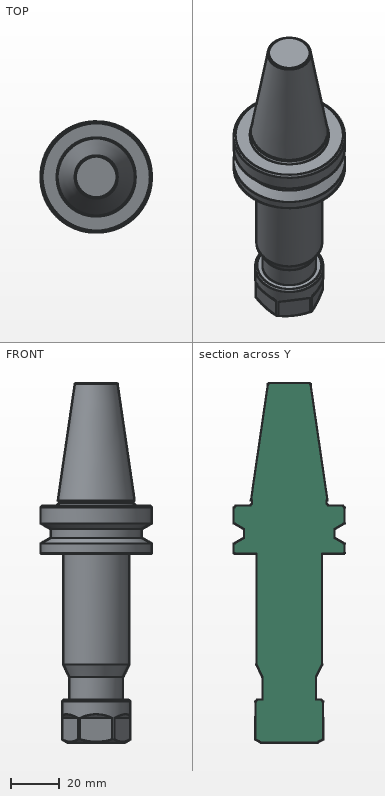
import cadquery as cq
import math

total_height = 148.4
taper_base_z = 100.0
flange_top_z = 98.0
flange_height = 20.0
flange_bottom_z = flange_top_z - flange_height

taper_base_radius = 15.9
taper_ratio = 7 / 24
taper_tip_radius = taper_base_radius - (total_height - taper_base_z) * taper_ratio / 2
tip_chamfer = 0.5
relief_radius = 15.5
relief_step = 0.3
relief_flare = 0.9

flange_radius = 23.0
flange_top_chamfer = 0.9
flange_bottom_chamfer = 0.5
groove_radius = 18.8
groove_floor_bottom_z = 84.6
groove_floor_top_z = 88.1
groove_wall_angle = 30
groove_wall_height = (flange_radius - groove_radius) * math.tan(math.radians(groove_wall_angle))

shank_radius = 13.7
shank_end_z = 32.4
neck_radius = 11.1
neck_top_z = 27.2

nut_radius = 14.1
nut_height = 18.0
nut_top_chamfer = 0.9
nut_face_radius = 11.6
nut_face_chamfer_angle = 30
nut_face_chamfer_height = (nut_radius - nut_face_radius) * math.tan(math.radians(nut_face_chamfer_angle))
hex_flat_count = 6
hex_flat_distance = 12.5
hex_flat_height = 10.2


def revolve_profile(outline):
    """Revolve (radius, height) points about Z, closing the outline on the axis."""
    return cq.Workplane("XZ").polyline(outline).close().revolve(360, (0, 0), (0, 1))


def make_holder():
    return revolve_profile([
        (0, nut_height),
        (neck_radius, nut_height),
        (neck_radius, neck_top_z),
        (shank_radius, shank_end_z),
        (shank_radius, flange_bottom_z),
        (flange_radius - flange_bottom_chamfer, flange_bottom_z),
        (flange_radius, flange_bottom_z + flange_bottom_chamfer),
        (flange_radius, groove_floor_bottom_z - groove_wall_height),
        (groove_radius, groove_floor_bottom_z),
        (groove_radius, groove_floor_top_z),
        (flange_radius, groove_floor_top_z + groove_wall_height),
        (flange_radius, flange_top_z - flange_top_chamfer),
        (flange_radius - flange_top_chamfer, flange_top_z),
        (relief_radius + relief_flare, flange_top_z),
        (relief_radius, flange_top_z + relief_flare),
        (relief_radius, taper_base_z - relief_step),
        (taper_base_radius, taper_base_z),
        (taper_tip_radius + tip_chamfer * taper_ratio / 2, total_height - tip_chamfer),
        (taper_tip_radius - tip_chamfer, total_height),
        (0, total_height),
    ])


def make_flat_cutter():
    """Wedge that cuts one wrench flat, ending in a 45 degree slope."""
    reach = 2 * nut_radius
    return (
        cq.Workplane("YZ")
        .polyline([
            (hex_flat_distance, 0),
            (hex_flat_distance, hex_flat_height),
            (reach, hex_flat_height + reach - hex_flat_distance),
            (reach, 0),
        ])
        .close()
        .extrude(nut_radius, both=True)
    )


def make_nut():
    nut = revolve_profile([
        (0, 0),
        (nut_face_radius, 0),
        (nut_radius, nut_face_chamfer_height),
        (nut_radius, nut_height - nut_top_chamfer),
        (nut_radius - nut_top_chamfer, nut_height),
        (0, nut_height),
    ])
    cutter = make_flat_cutter()
    for index in range(hex_flat_count):
        angle = index * 360 / hex_flat_count
        nut = nut.cut(cutter.rotate((0, 0, 0), (0, 0, 1), angle))
    return nut


result = make_holder().union(make_nut())